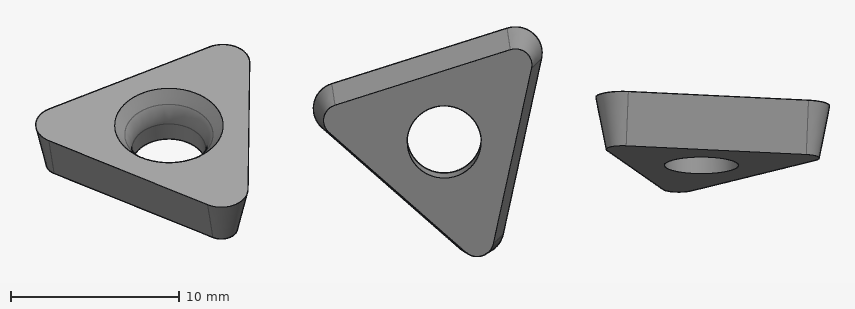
import cadquery as cq
import math

inscribed_diameter = 9.525
corner_radius = 1.6
thickness = 3.18
corner_directions = (90, 210, 330)
corner_half_sweep = 60
clearance_angle = 11.0

bore_diameter = 4.4
seat_diameter = 6.45
seat_half_angle = 39.0
throat_radius = 1.9


def point_at(center, radius, degrees):
    """Point at a polar offset from a centre."""
    angle = math.radians(degrees)
    return (center[0] + radius * math.cos(angle), center[1] + radius * math.sin(angle))


def rounded_triangle(z, inset):
    """Closed outline at height z with every side and corner moved inward by inset."""
    corner_center_distance = inscribed_diameter - 2 * corner_radius
    radius = corner_radius - inset
    outline = cq.Workplane("XY", origin=(0, 0, z))
    for index, direction in enumerate(corner_directions):
        center = point_at((0, 0), corner_center_distance, direction)
        arc_start = point_at(center, radius, direction - corner_half_sweep)
        arc_middle = point_at(center, radius, direction)
        arc_end = point_at(center, radius, direction + corner_half_sweep)
        outline = outline.moveTo(*arc_start) if index == 0 else outline.lineTo(*arc_start)
        outline = outline.threePointArc(arc_middle, arc_end)
    return outline.close().val()


def insert_body():
    """Rounded triangle at the top face, tapered down to a smaller bottom face."""
    bottom_inset = thickness * math.tan(math.radians(clearance_angle))
    bottom = rounded_triangle(0, bottom_inset)
    top = rounded_triangle(thickness, 0)
    return cq.Workplane("XY").add(cq.Solid.makeLoft([bottom, top], True))


def screw_hole():
    """Solid of revolution removed from the body."""
    half_angle = math.radians(seat_half_angle)
    bore_radius = bore_diameter / 2
    seat_radius = seat_diameter / 2
    throat_center_x = bore_radius + throat_radius
    throat_top_x = throat_center_x - throat_radius * math.cos(half_angle)
    throat_top_z = thickness - (seat_radius - throat_top_x) / math.tan(half_angle)
    throat_bottom_z = throat_top_z - throat_radius * math.sin(half_angle)
    throat_middle = (
        throat_center_x - throat_radius * math.cos(half_angle / 2),
        throat_bottom_z + throat_radius * math.sin(half_angle / 2),
    )
    return (
        cq.Workplane("XZ")
        .lineTo(bore_radius, 0)
        .lineTo(bore_radius, throat_bottom_z)
        .threePointArc(throat_middle, (throat_top_x, throat_top_z))
        .lineTo(seat_radius, thickness)
        .lineTo(0, thickness)
        .close()
        .revolve(360, (0, 0, 0), (0, 1, 0))
    )


result = insert_body().cut(screw_hole())